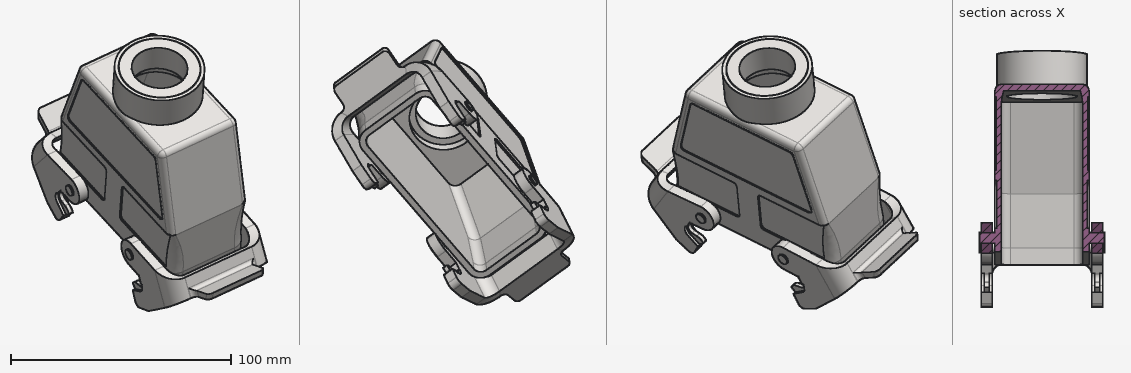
import cadquery as cq
import math

TILT = 5.0

REACH = 82.6

ARC_MIDDLE = 1 - math.sqrt(0.5)

TOP_Z = 69.7
SHOULDER_Z = 26.0
SKIRT_Z = 1.4
BOTTOM_Z = -6.3
TOP_HALF_LENGTH = 33.0
SHOULDER_HALF_LENGTH = 44.8
SKIRT_HALF_LENGTH = 46.5
HALF_WIDTH = 21.5
WALL = 3.0
EDGE_RADIUS = 3.0
SKIRT_CORNER_RADIUS = 7.2
CAVITY_CORNER_RADIUS = SKIRT_CORNER_RADIUS - WALL
FLARE_CORNERS = [
    (SHOULDER_Z, EDGE_RADIUS),
    (18.2, 5.6),
    (12.4, 6.9),
    (SKIRT_Z, SKIRT_CORNER_RADIUS),
]

PANEL_RADIUS = 2.0
LABEL_DEPTH = 0.5
LABEL_TOP_Z = 64.6
LABEL_BOTTOM_Z = 30.7
LABEL_END_MARGIN = 5.0
GRIP_DEPTH = 0.8
GRIP_BOTTOM_Z = 4.5
GRIP_INNER_X = 6.0

COLLAR_DIAMETER = 41.0
COLLAR_TOP_Z = 85.8
COLLAR_BORE = 37.5
CABLE_OPENING = 32.0
BUSH_DIAMETER = 37.0
BUSH_BORE = 25.5
BUSH_LENGTH = 13.5
BUSH_SEAT_Z = COLLAR_TOP_Z - BUSH_LENGTH

PIVOT_X = 23.8
PIN_DIAMETER = 5.1
PIN_SPAN = 57.0

LEVER_HALF_WIDTH = 27.7
ARM_THICKNESS = 5.1
PLATE_THICKNESS = 3.3
BEND_RADIUS = 9.2
BEND_SECTIONS = 6
PLATE_ANGLE = 59.4
ARM_END_RADIUS = 7.0
PLATE_TOP = (-53.8, 6.0)
ARM_TOP_END = (-PIVOT_X, ARM_END_RADIUS)
HEEL = (-40.6, -22.6)
TOE = (-31.4, -27.7)
TOE_RADIUS = 2.8
LIP = (-27.7, -20.2)
LIP_TIP = (-25.5, -18.2)
LIP_TOP = (-29.2, -15.5)
LIP_TOP_BULGE = (-27.0, -16.4)
NOTCH_FLOOR = (-32.0, -15.0)
NOTCH_BULGE = (-33.6, -13.6)
NOTCH_REAR = (-33.6, -11.3)
NOTCH_MOUTH = (-31.5, -7.3)
STEP_FLOOR = (-32.8, -16.5)
STEP_BULGE = (-34.5, -14.0)
STEP_REAR = (-34.2, -11.0)
LIP_THICKNESS = 2.2

HANDLE_DROP = 7.3
HANDLE_LENGTH = 13.2
HANDLE_THICKNESS = 3.2
PLATE_HEIGHT = HANDLE_DROP + HANDLE_THICKNESS
HANDLE_TIP_HALF_WIDTH = 15.5
HANDLE_ROOT_HALF_WIDTH = 18.2
HANDLE_CORNER_RADIUS = 2.0
HANDLE_FILLET = 1.9


def hood_half_length(z):
    """Half length of the hood along X at height z."""
    if z >= SHOULDER_Z:
        share = (z - SHOULDER_Z) / (TOP_Z - SHOULDER_Z)
        return SHOULDER_HALF_LENGTH + share * (TOP_HALF_LENGTH - SHOULDER_HALF_LENGTH)
    share = min(1, (SHOULDER_Z - z) / (SHOULDER_Z - SKIRT_Z))
    return SHOULDER_HALF_LENGTH + share * (SKIRT_HALF_LENGTH - SHOULDER_HALF_LENGTH)


def section_wire(z, wall, radius):
    """Rounded rectangle of the hood at height z, moved inwards by the wall."""
    length = 2 * (hood_half_length(z) - wall)
    width = 2 * (HALF_WIDTH - wall)
    slab = cq.Workplane().workplane(offset=z).rect(length, width).extrude(WALL)
    slab = slab.edges("|Z").fillet(radius)
    return slab.faces("<Z").wires().val()


def loft(wires, straight):
    return cq.Workplane(cq.Solid.makeLoft(wires, straight))


def cylinder(diameter, bottom_z, top_z):
    return cq.Workplane().workplane(offset=bottom_z).circle(diameter / 2).extrude(top_z - bottom_z)


def make_upper_hood():
    outline = [
        (-TOP_HALF_LENGTH, TOP_Z),
        (TOP_HALF_LENGTH, TOP_Z),
        (SHOULDER_HALF_LENGTH, SHOULDER_Z),
        (-SHOULDER_HALF_LENGTH, SHOULDER_Z),
    ]
    upper = cq.Workplane("XZ").polyline(outline).close().extrude(HALF_WIDTH, both=True)
    return upper.edges("not <Z").fillet(EDGE_RADIUS)


def make_flare():
    return loft([section_wire(z, 0, radius) for z, radius in FLARE_CORNERS], False)


def make_skirt():
    return loft([section_wire(z, 0, SKIRT_CORNER_RADIUS) for z in (SKIRT_Z, BOTTOM_Z)], True)


def make_cavity():
    levels = [TOP_Z - WALL, SHOULDER_Z, SKIRT_Z, BOTTOM_Z]
    return loft([section_wire(z, WALL, CAVITY_CORNER_RADIUS) for z in levels], True)


def make_label_recesses():
    """Trapezoid recesses on both sides of the upper hood."""
    top_x = hood_half_length(LABEL_TOP_Z) - LABEL_END_MARGIN
    bottom_x = hood_half_length(LABEL_BOTTOM_Z) - LABEL_END_MARGIN
    outline = [
        (-top_x, LABEL_TOP_Z),
        (top_x, LABEL_TOP_Z),
        (bottom_x, LABEL_BOTTOM_Z),
        (-bottom_x, LABEL_BOTTOM_Z),
    ]
    panel = cq.Workplane("XZ").polyline(outline).close().extrude(HALF_WIDTH, both=True)
    panel = panel.edges("|Y").fillet(PANEL_RADIUS)
    core = cq.Workplane().box(2 * REACH, 2 * (HALF_WIDTH - LABEL_DEPTH), 2 * REACH)
    return panel.cut(core)


def make_grip_recesses():
    """Four recesses in the hood sides below the shoulder, open towards the hood ends."""
    length = SKIRT_HALF_LENGTH
    height = SHOULDER_Z - GRIP_BOTTOM_Z
    recess = (
        cq.Workplane()
        .box(length, 2 * GRIP_DEPTH, height)
        .edges("|Y and >X")
        .fillet(PANEL_RADIUS)
        .translate((-GRIP_INNER_X - length / 2, -HALF_WIDTH, GRIP_BOTTOM_Z + height / 2))
    )
    front_pair = [recess, recess.mirror("YZ")]
    return front_pair + [panel.mirror("XZ") for panel in front_pair]


def make_pins():
    """Pivot pins standing out from both sides of the hood."""
    root_y = HALF_WIDTH - GRIP_DEPTH
    pin = cq.Workplane("XZ", origin=(-PIVOT_X, -root_y, 0)).circle(PIN_DIAMETER / 2)
    pin = pin.extrude(PIN_SPAN / 2 - root_y)
    front_pair = [pin, pin.mirror("YZ")]
    return front_pair + [other.mirror("XZ") for other in front_pair]


def make_hood():
    hood = make_upper_hood().union(make_flare()).union(make_skirt())
    hood = hood.union(cylinder(COLLAR_DIAMETER, TOP_Z - EDGE_RADIUS, COLLAR_TOP_Z))
    hood = hood.cut(make_cavity())
    hood = hood.cut(cylinder(CABLE_OPENING, SHOULDER_Z, COLLAR_TOP_Z))
    hood = hood.cut(cylinder(COLLAR_BORE, BUSH_SEAT_Z, COLLAR_TOP_Z))
    hood = hood.cut(make_label_recesses())
    for recess in make_grip_recesses():
        hood = hood.cut(recess)
    for pin in make_pins():
        hood = hood.union(pin)
    return hood


def make_bush():
    bush = cylinder(BUSH_DIAMETER, BUSH_SEAT_Z, COLLAR_TOP_Z)
    return bush.cut(cylinder(BUSH_BORE, BUSH_SEAT_Z, COLLAR_TOP_Z))


def plate_directions():
    """Unit vectors out of the lever plate and up along it."""
    angle = math.radians(PLATE_ANGLE)
    up = cq.Vector(math.cos(angle), 0, math.sin(angle))
    out = cq.Vector(-math.sin(angle), 0, math.cos(angle))
    return out, up


def plate_point(depth, y, height):
    """Point given by its depth behind the plate front, its Y and its height along the plate."""
    out, up = plate_directions()
    return cq.Vector(PLATE_TOP[0], y, PLATE_TOP[1]) - out * depth + up * height


def edge_height(start_height, end, depth):
    """Height along the plate of the straight lever edge from the plate front to the point end."""
    out, up = plate_directions()
    run = cq.Vector(end[0], 0, end[1]) - plate_point(0, 0, start_height)
    return start_height - depth * run.dot(up) / run.dot(out)


def make_arm_block():
    """Side outline of the left lever, without its handle, as a block across Y."""
    plate_bottom = plate_point(0, 0, -PLATE_HEIGHT)
    outline = (
        cq.Workplane("XZ")
        .moveTo(*ARM_TOP_END)
        .lineTo(*PLATE_TOP)
        .lineTo(plate_bottom.x, plate_bottom.z)
        .lineTo(*HEEL)
        .lineTo(*TOE)
        .lineTo(*LIP)
        .lineTo(*LIP_TIP)
        .threePointArc(LIP_TOP_BULGE, LIP_TOP)
        .lineTo(*NOTCH_FLOOR)
        .threePointArc(NOTCH_BULGE, NOTCH_REAR)
        .lineTo(*NOTCH_MOUTH)
        .lineTo(-PIVOT_X, -ARM_END_RADIUS)
        .threePointArc((ARM_END_RADIUS - PIVOT_X, 0), ARM_TOP_END)
        .close()
    )
    block = outline.extrude(LEVER_HALF_WIDTH, both=True)
    toe_edge = cq.selectors.NearestToPointSelector((TOE[0], 0, TOE[1]))
    return block.edges("|Y").edges(toe_edge).fillet(TOE_RADIUS)


def make_arms():
    """Both arms, from the bends to the hooks."""
    out, up = plate_directions()
    plane = cq.Plane(origin=plate_point(BEND_RADIUS, 0, 0), xDir=up, normal=out * -1)
    behind_bends = cq.Workplane(plane).rect(2 * REACH, REACH).extrude(REACH)
    between_arms = cq.Workplane().box(2 * REACH, 2 * (LEVER_HALF_WIDTH - ARM_THICKNESS), REACH)
    return make_arm_block().intersect(behind_bends).cut(between_arms)


def make_bend():
    """Bend from the arm on the +Y side to the plate; its edges stay square to the sheet."""
    inner_radius = BEND_RADIUS - PLATE_THICKNESS
    outer_center_y = LEVER_HALF_WIDTH - BEND_RADIUS
    inner_center_y = LEVER_HALF_WIDTH - ARM_THICKNESS - inner_radius
    sections = []
    for step in range(BEND_SECTIONS + 1):
        angle = math.pi / 2 * step / BEND_SECTIONS
        outer_depth = BEND_RADIUS * (1 - math.sin(angle))
        outer_y = outer_center_y + BEND_RADIUS * math.cos(angle)
        inner_depth = BEND_RADIUS - inner_radius * math.sin(angle)
        inner_y = inner_center_y + inner_radius * math.cos(angle)
        top = edge_height(0, ARM_TOP_END, outer_depth)
        bottom = edge_height(-PLATE_HEIGHT, HEEL, outer_depth)
        corners = [
            plate_point(outer_depth, outer_y, top),
            plate_point(inner_depth, inner_y, top),
            plate_point(inner_depth, inner_y, bottom),
            plate_point(outer_depth, outer_y, bottom),
        ]
        sections.append(cq.Wire.makePolygon(corners, close=True))
    return loft(sections, False)


def make_plate():
    """Cross plate between the two bends."""
    out, up = plate_directions()
    front_y = LEVER_HALF_WIDTH - BEND_RADIUS
    rear_y = front_y - ARM_THICKNESS + PLATE_THICKNESS
    outline = [
        (0, -front_y),
        (PLATE_THICKNESS, -rear_y),
        (PLATE_THICKNESS, rear_y),
        (0, front_y),
    ]
    plane = cq.Plane(origin=plate_point(0, 0, -PLATE_HEIGHT), xDir=out * -1, normal=up)
    return cq.Workplane(plane).polyline(outline).close().extrude(PLATE_HEIGHT)


def make_lip_steps():
    """Recesses that set both sides of the hook back from its thin central lip."""
    outline = (
        cq.Workplane("XZ")
        .moveTo(*LIP)
        .lineTo(*STEP_FLOOR)
        .threePointArc(STEP_BULGE, STEP_REAR)
        .lineTo(LIP_TIP[0], STEP_REAR[1])
        .lineTo(*LIP_TIP)
        .close()
    )
    steps = outline.extrude(LEVER_HALF_WIDTH, both=True)
    lip_center_y = LEVER_HALF_WIDTH - ARM_THICKNESS / 2
    for y in (-lip_center_y, lip_center_y):
        lip = cq.Workplane().box(2 * REACH, LIP_THICKNESS, 2 * REACH).translate((0, y, 0))
        steps = steps.cut(lip)
    return steps


def make_handle():
    out, up = plate_directions()
    root = plate_point(0, 0, -HANDLE_DROP)
    tip_setback = HANDLE_THICKNESS / math.tan(math.radians(PLATE_ANGLE))
    fillet_middle = HANDLE_FILLET * ARC_MIDDLE
    side = (
        cq.Workplane(cq.Plane(origin=root, xDir=out, normal=out.cross(up)))
        .moveTo(-PLATE_THICKNESS / 2, HANDLE_FILLET)
        .lineTo(0, HANDLE_FILLET)
        .threePointArc((fillet_middle, fillet_middle), (HANDLE_FILLET, 0))
        .lineTo(HANDLE_LENGTH, 0)
        .lineTo(HANDLE_LENGTH - tip_setback, -HANDLE_THICKNESS)
        .lineTo(0, -HANDLE_THICKNESS)
        .lineTo(-PLATE_THICKNESS / 2, 0)
        .close()
        .extrude(HANDLE_ROOT_HALF_WIDTH, both=True)
    )
    flare = HANDLE_ROOT_HALF_WIDTH - HANDLE_TIP_HALF_WIDTH
    flare_middle = flare * ARC_MIDDLE
    plan = (
        cq.Workplane(cq.Plane(origin=root, xDir=out, normal=up))
        .moveTo(-PLATE_THICKNESS, -HANDLE_ROOT_HALF_WIDTH)
        .lineTo(0, -HANDLE_ROOT_HALF_WIDTH)
        .threePointArc(
            (flare_middle, -HANDLE_TIP_HALF_WIDTH - flare_middle), (flare, -HANDLE_TIP_HALF_WIDTH)
        )
        .lineTo(HANDLE_LENGTH, -HANDLE_TIP_HALF_WIDTH)
        .lineTo(HANDLE_LENGTH, HANDLE_TIP_HALF_WIDTH)
        .lineTo(flare, HANDLE_TIP_HALF_WIDTH)
        .threePointArc(
            (flare_middle, HANDLE_TIP_HALF_WIDTH + flare_middle), (0, HANDLE_ROOT_HALF_WIDTH)
        )
        .lineTo(-PLATE_THICKNESS, HANDLE_ROOT_HALF_WIDTH)
        .close()
        .extrude(HANDLE_LENGTH, both=True)
    )
    handle = side.intersect(plan)
    return handle.faces("<X").edges("not |Y").fillet(HANDLE_CORNER_RADIUS)


def make_lever(side):
    """Lever on the -X side for side -1, and its mirror image on the +X side for side 1."""
    lever = make_arms().cut(make_lip_steps())
    bend = make_bend()
    lever = lever.union(make_plate()).union(bend).union(bend.mirror("XZ"))
    lever = lever.union(make_handle())
    pivot_hole = cq.Workplane("XZ", origin=(-PIVOT_X, 0, 0)).circle(PIN_DIAMETER / 2)
    lever = lever.cut(pivot_hole.extrude(LEVER_HALF_WIDTH, both=True))
    return lever.mirror("YZ") if side > 0 else lever


def tilted(body):
    return body.rotate((0, 0, 0), (0, 1, 0), TILT)


levers = [make_lever(side) for side in (-1, 1)]
hood = make_hood()
bush = make_bush()

result = cq.Compound.makeCompound([tilted(body).val() for body in [hood, bush, *levers]])